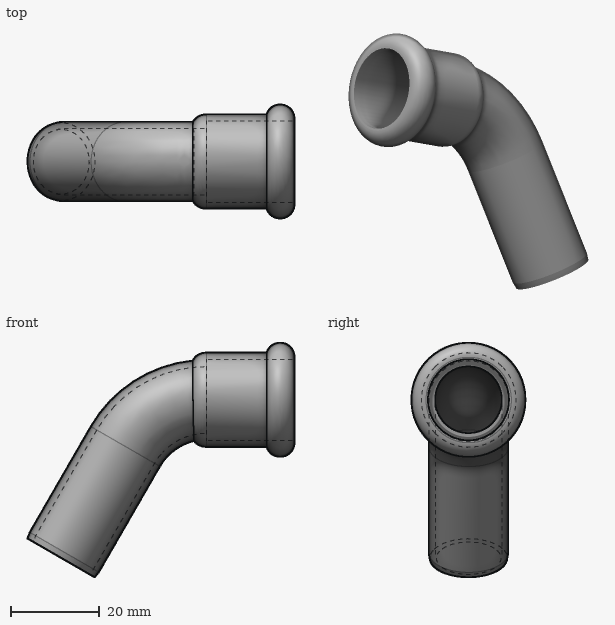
import cadquery as cq
import math

pipe_outer_radius = 18.0 / 2
pipe_bore_radius = 15 / 2
bend_radius = 21.0
bend_angle = 60
leg_length = 29.0

tip_length = 1.5
tip_reduction = 0.25

socket_depth = 19.9
socket_outer_radius = 21.3 / 2
socket_bore_radius = 18.3 / 2
shoulder_radius = 3.5

bead_outer_radius = 25.75 / 2
bead_section_radius = 3.25

bend_radians = math.radians(bend_angle)
leg_start = (
    -socket_depth - bend_radius * math.sin(bend_radians),
    0,
    -bend_radius * (1 - math.cos(bend_radians)),
)
leg_direction = cq.Vector(-math.cos(bend_radians), 0, -math.sin(bend_radians))


def make_bend(radius):
    """Round bar turned around the bend, from the socket floor to the leg."""
    floor_plane = cq.Plane((-socket_depth, 0, 0), xDir=(0, 0, 1), normal=(1, 0, 0))
    return (
        cq.Workplane(floor_plane)
        .circle(radius)
        .revolve(bend_angle, (-bend_radius, 0), (-bend_radius, 1))
    )


def make_leg(radius):
    """Straight bar along the leg, with a slightly narrowed tip."""
    across_leg = cq.Vector(0, 1, 0)
    profile_plane = cq.Plane(leg_start, across_leg, across_leg.cross(leg_direction))
    return (
        cq.Workplane(profile_plane)
        .lineTo(radius, 0)
        .lineTo(radius, leg_length - tip_length)
        .lineTo(radius - tip_reduction, leg_length)
        .lineTo(0, leg_length)
        .close()
        .revolve(360, (0, 0, 0), (0, 1, 0))
    )


def make_pipe(radius):
    """Solid bar through the bend and the leg."""
    return make_bend(radius).union(make_leg(radius))


def make_socket():
    """Solid socket body with a rounded shoulder and a bead at its mouth."""
    arc_offset = shoulder_radius * math.sqrt(0.5)
    shoulder_inner_radius = socket_outer_radius - shoulder_radius
    bead_center_radius = bead_outer_radius - bead_section_radius
    bead_rise = socket_outer_radius - bead_center_radius
    bead_start = -bead_section_radius - math.sqrt(bead_section_radius**2 - bead_rise**2)
    return (
        cq.Workplane("XY")
        .moveTo(-socket_depth - shoulder_radius, 0)
        .lineTo(-socket_depth - shoulder_radius, shoulder_inner_radius)
        .threePointArc(
            (-socket_depth - arc_offset, shoulder_inner_radius + arc_offset),
            (-socket_depth, socket_outer_radius),
        )
        .lineTo(bead_start, socket_outer_radius)
        .threePointArc((-bead_section_radius, bead_outer_radius), (0, bead_center_radius))
        .lineTo(0, 0)
        .close()
        .revolve(360, (0, 0, 0), (1, 0, 0))
    )


socket_bore = cq.Workplane("YZ").circle(socket_bore_radius).extrude(-socket_depth)
outer_body = make_socket().union(make_pipe(pipe_outer_radius))
result = outer_body.cut(socket_bore).cut(make_pipe(pipe_bore_radius))